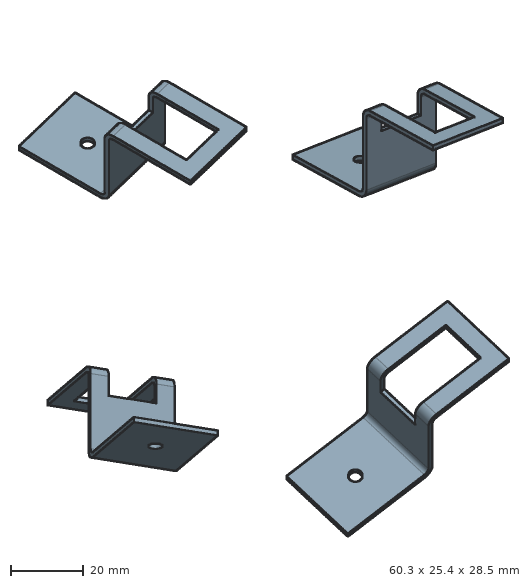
import cadquery as cq

length = 60.3
width = 25.4
height = 28.5
thickness = 1.5

inner_radius = 1.5
outer_radius = inner_radius + thickness

web_left = 30.15
web_right = web_left + thickness

hole_diameter = 4.0
hole_x = 14.3

window_width = 14.35
window_end_margin = 5.7
window_depth = 8.75


def bent_strip():
    """Z profile in the XZ plane, extruded symmetrically across the width."""
    lower_bend_x = web_left - inner_radius
    upper_bend_x = web_right + inner_radius
    lower_bend_z = outer_radius
    upper_bend_z = height - outer_radius
    profile = (
        cq.Workplane("XZ")
        .lineTo(lower_bend_x, 0)
        .radiusArc((web_right, lower_bend_z), -outer_radius)
        .lineTo(web_right, upper_bend_z)
        .radiusArc((upper_bend_x, height - thickness), inner_radius)
        .lineTo(length, height - thickness)
        .lineTo(length, height)
        .lineTo(upper_bend_x, height)
        .radiusArc((web_left, upper_bend_z), -outer_radius)
        .lineTo(web_left, lower_bend_z)
        .radiusArc((lower_bend_x, thickness), inner_radius)
        .lineTo(0, thickness)
        .close()
    )
    return profile.extrude(width / 2, both=True)


def mounting_hole():
    return cq.Workplane("XY").center(hole_x, 0).circle(hole_diameter / 2).extrude(thickness)


def window():
    window_length = length - window_end_margin - web_left
    return (
        cq.Workplane("XY", origin=(web_left, 0, height - window_depth))
        .rect(window_length * 2, window_width)
        .extrude(window_depth)
    )


result = bent_strip().cut(mounting_hole()).cut(window())